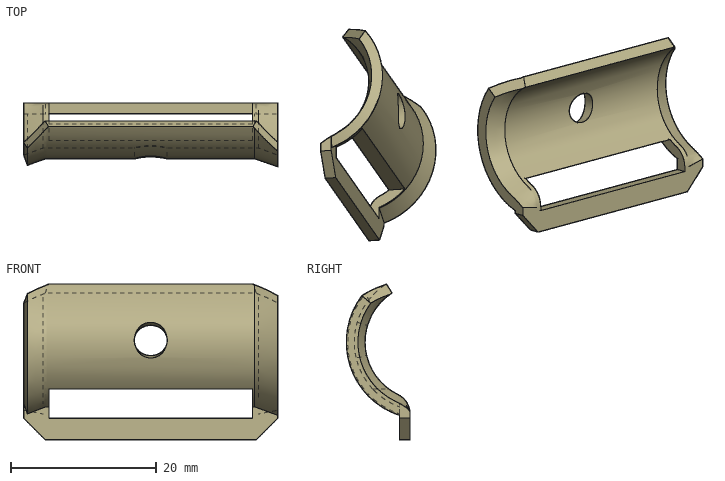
import cadquery as cq
import math


length = 35.0
thickness = 1.5
outer_radius = 9.5
inner_radius = outer_radius - thickness
top_edge_angle = 57.7
lower_sweep = 73.0

flare_angle = 20.0
right_rim_radius = 10.61
inner_rim_radius = 9.0
bend_radius = 1.0
bend_start = 14.3
inner_corner = 14.82

height = 21.5
plate_back = -1.8
plate_bottom = outer_radius * math.sin(math.radians(top_edge_angle)) - height
plate_corner_chamfer = 3.0
root_radius = 3.0
rim_root_height = 4.1

slot_length = 28.0
slot_height = 4.0
bar_height = 3.0
slot_bottom = plate_bottom + bar_height
hole_width = 4.5
hole_height = 5.07
hole_angle = 1.7

crop_tilt = 40.0
crop_start = 14.07

half_length = length / 2


def make_wall():
    """Flared wall with a thick inside, which the bore later trims to the wall thickness.

    The left rim is square to its flare and the right rim is square to the barrel axis.
    """
    flare = math.radians(flare_angle)
    bend_end = bend_start + bend_radius * math.sin(flare)
    bend_end_radius = outer_radius + bend_radius * (1 - math.cos(flare))
    left_rim = half_length - thickness * math.sin(flare)
    left_rim_radius = bend_end_radius + (left_rim - bend_end) * math.tan(flare)
    untrimmed_radius = inner_radius - thickness
    section = (
        cq.Workplane("XY")
        .moveTo(-half_length, -untrimmed_radius)
        .lineTo(-half_length, -inner_rim_radius)
        .lineTo(-left_rim, -left_rim_radius)
        .lineTo(-bend_end, -bend_end_radius)
        .tangentArcPoint((-bend_start, -outer_radius), relative=False)
        .lineTo(bend_start, -outer_radius)
        .lineTo(half_length, -right_rim_radius)
        .lineTo(half_length, -untrimmed_radius)
        .close()
    )
    wall = section.revolve(top_edge_angle + lower_sweep, (0, 0, 0), (1, 0, 0))
    return wall.rotate((0, 0, 0), (1, 0, 0), -top_edge_angle)


def make_plate():
    plate = (
        cq.Workplane("XZ", origin=(0, plate_back, 0))
        .center(0, plate_bottom / 2)
        .rect(length, -plate_bottom)
        .extrude(thickness)
    )
    return plate.edges("|Y and <Z").chamfer(plate_corner_chamfer)


def bore_section(x, radius, root_z):
    """Outline of the bore at x: the barrel arc, the rounded root, and the space behind the plate."""
    root_forward = root_radius - plate_back
    root_angle = math.asin(root_forward / (inner_radius + root_radius))
    root_start = (-radius * math.sin(root_angle), -radius * math.cos(root_angle))
    return (
        cq.Workplane("YZ", origin=(x, 0, 0))
        .moveTo(0, radius)
        .threePointArc((-radius, 0), root_start)
        .tangentArcPoint((plate_back, root_z), relative=False)
        .lineTo(outer_radius, root_z)
        .lineTo(outer_radius, radius)
        .close()
    )


def make_bore():
    """Straight middle with a ruled flare at each end."""
    root_z = -math.sqrt((inner_radius + root_radius) ** 2 - (root_radius - plate_back) ** 2)
    rim_root_z = plate_bottom + rim_root_height
    bore = bore_section(-inner_corner, inner_radius, root_z).extrude(2 * inner_corner)
    for side in (-1, 1):
        corner_wire = bore_section(side * inner_corner, inner_radius, root_z).val()
        rim_wire = bore_section(side * half_length, inner_rim_radius, rim_root_z).val()
        flare = cq.Solid.makeLoft([corner_wire, rim_wire], True)
        bore = bore.union(cq.Workplane(flare))
    return bore


def make_slot():
    return (
        cq.Workplane("XZ")
        .center(0, slot_bottom + slot_height / 2)
        .rect(slot_length, slot_height)
        .extrude(2 * outer_radius)
    )


def make_hole():
    """Radial hole: constant width along X, height proportional to the distance from the axis."""
    near = inner_radius / 2
    far = 2 * outer_radius - near
    near_height = hole_height * near / outer_radius
    far_height = hole_height * far / outer_radius
    hole = (
        cq.Workplane("XZ", origin=(0, -near, 0))
        .ellipse(hole_width / 2, near_height / 2)
        .workplane(offset=far - near)
        .ellipse(hole_width / 2, far_height / 2)
        .loft(ruled=True)
    )
    return hole.rotate((0, 0, 0), (1, 0, 0), -hole_angle)


def make_corner_crop(side):
    """Block beyond the 45 degree crop of one upper corner (side is -1 for left, 1 for right)."""
    edge_angle = math.radians(top_edge_angle)
    crop_point = (
        side * crop_start,
        -outer_radius * math.cos(edge_angle),
        outer_radius * math.sin(edge_angle),
    )
    lean = math.radians(crop_tilt)
    in_plane = (0, math.cos(lean), -math.sin(lean))
    outward = (side, math.sin(lean), math.cos(lean))
    crop_plane = cq.Plane(origin=crop_point, xDir=in_plane, normal=outward)
    return cq.Workplane(crop_plane).rect(height, height).extrude(height)


body = make_wall().union(make_plate()).cut(make_bore())
body = body.cut(make_slot()).cut(make_hole())
for side in (-1, 1):
    body = body.cut(make_corner_crop(side))
result = body